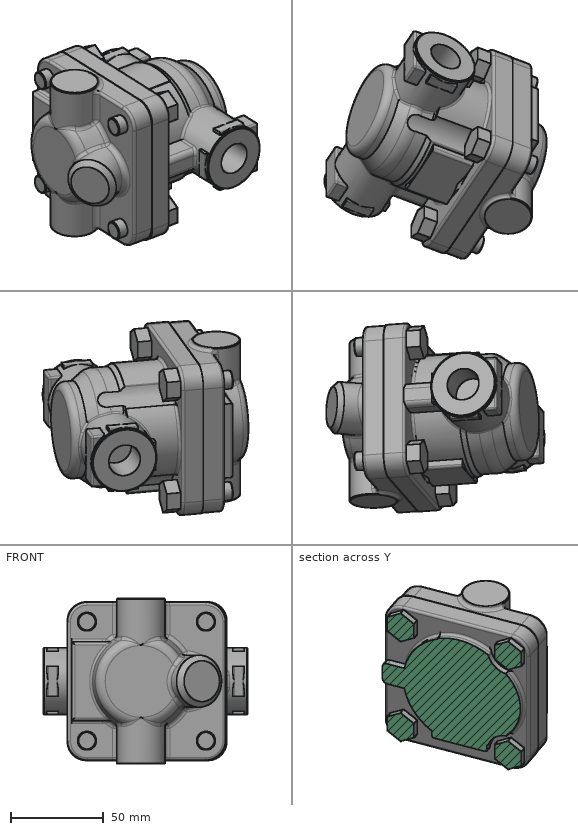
import cadquery as cq
import math

touch_tolerance = 0.001

pipe_radius = 18.0
pipe_half_length = 55.0
pipe_edge_chamfer = 0.6
bore_radius = 17.5 / 2
bore_depth = 20.0
pad_outer_x = 53.0
small_pad_length = 6.0
small_pad_width = 16.0
back_pad_length = 12.5
back_pad_height = 29.4
back_pad_edge_radius = 1.2
small_pad_edge_radius = 0.6

axis_x = -2.5
back_y = 22.0
back_edge_radius = 4.5
neck_radius = 26.3
neck_end_y = 13.6
shoulder_blend_y = 7.7
shoulder_blend_radius = 30.6
shoulder_y = 1.0
shoulder_radius = 32.3
step_start_y = -6.0
step_end_y = -8.8
body_radius = 33.6
left_lobe_radius = 27.5
left_lobe_x = -39.0
left_lobe_back_y = -7.0
name_pad_radius = 33.9
name_pad_left_x = -22.0
name_pad_right_x = 10.6
pipe_root_fillet = 1.5
flange_root_fillet = 1.5
groove_edge_radius = 0.8
rib_outer_x = 43.6
rib_half_height = 6.6
rib_edge_radius = 3.2
bottom_pad_width = 33.0
bottom_pad_back_y = -10.8
bottom_pad_radius = 1.5

flange_x = 0.5
flange_size = 85.0
body_flange_x = 0.85
body_flange_width = 85.9
body_flange_height = 85.4
flange_corner_radius = 10.5
flange_edge_radius = 1.5
flange_back_y = -35.0
joint_y = -47.0
flange_front_y = -59.0
bolt_pitch = 64.0
bolt_head_flats = 16.0
bolt_head_height = 7.7
bolt_radius = 5.0
bolt_end_y = -65.0
bolt_chamfer = 0.5
bolt_clearance_radius = 12.0

cover_face_y = -77.0
bowl_root_radius = 27.5
bowl_front_radius = 23.8
bowl_edge_radius = 5.5
stub_radius = 13.0
stub_length = 89.0
stub_edge_chamfer = 0.5
plate_left_x = -39.6
plate_front_y = -64.3
plate_height = 42.4
plate_edge_radius = 1.6
cover_root_fillet = 2.6
plate_root_fillet = 1.5

plug_radius = 14.0
plug_chamfer = 3.0
plug_angle = 30.0
plug_length = 28.0
plug_end_x = 30.3
overall_depth = 106.54
front_y = back_y - overall_depth
plug_end_y = front_y + (plug_radius - plug_chamfer) * math.sin(math.radians(plug_angle))


def box(x_range, y_range, z_range):
    """Box given by its limits along each axis."""
    sizes = [high - low for low, high in (x_range, y_range, z_range)]
    return cq.Workplane("XY").box(*sizes, centered=False).translate((x_range[0], y_range[0], z_range[0]))


def y_cylinder(x, z, radius, y_front, y_back):
    """Cylinder parallel to Y between two Y positions."""
    return (
        cq.Workplane("XZ", origin=(x, y_back, z))
        .circle(radius)
        .extrude(y_back - y_front)
    )


def lies_on(point, part):
    """True when the point is on the outer surface of the part."""
    return any(face.distance(point) < touch_tolerance for face in part.faces().vals())


def meeting_edges(solid, parts, wanted=lambda box: True):
    """Edges of the joined solid where the surfaces of two parts meet, if their bounds are wanted."""
    found = []
    for edge in solid.edges().vals():
        middle = cq.Vertex.makeVertex(*edge.positionAt(0.5).toTuple())
        touched = sum(lies_on(middle, part) for part in parts)
        if touched > 1 and wanted(edge.BoundingBox()):
            found.append(edge)
    return solid.newObject(found)


def bolt_places():
    """X and Z of the four bolts."""
    half = bolt_pitch / 2
    return [(flange_x + i * half, j * half) for i in (-1, 1) for j in (-1, 1)]


def turned_body():
    corner = back_edge_radius * (1 - math.sqrt(0.5))
    profile = (
        cq.Workplane("XY")
        .moveTo(0, joint_y)
        .lineTo(0, back_y)
        .lineTo(neck_radius - back_edge_radius, back_y)
        .threePointArc((neck_radius - corner, back_y - corner), (neck_radius, back_y - back_edge_radius))
        .lineTo(neck_radius, neck_end_y)
        .lineTo(shoulder_blend_radius, shoulder_blend_y)
        .tangentArcPoint((shoulder_radius, shoulder_y), relative=False)
        .lineTo(shoulder_radius, step_start_y)
        .lineTo(body_radius, step_end_y)
        .lineTo(body_radius, flange_back_y + flange_root_fillet)
        .radiusArc((body_radius + flange_root_fillet, flange_back_y), -flange_root_fillet)
        .lineTo(body_radius + flange_root_fillet, joint_y)
        .close()
    )
    return profile.revolve(360, (0, 0, 0), (0, 1, 0)).translate((axis_x, 0, 0))


def footed_cylinder(x, radius, y_back):
    """Cylinder along Y that flares into the back of the body flange."""
    foot_radius = radius + flange_root_fillet
    profile = (
        cq.Workplane("XY")
        .moveTo(0, joint_y)
        .lineTo(0, y_back)
        .lineTo(radius, y_back)
        .lineTo(radius, flange_back_y + flange_root_fillet)
        .radiusArc((foot_radius, flange_back_y), -flange_root_fillet)
        .lineTo(foot_radius, joint_y)
        .close()
    )
    return profile.revolve(360, (0, 0, 0), (0, 1, 0)).translate((x, 0, 0))


def left_lobe():
    """Rounded wall of the left passage."""
    return footed_cylinder(left_lobe_x + left_lobe_radius, left_lobe_radius, left_lobe_back_y)


def rib():
    """Rounded rib on the right that runs into the flange."""
    bar = box((0, rib_outer_x), (joint_y, 0), (-rib_half_height, rib_half_height))
    return bar.edges("|Y and >X").fillet(rib_edge_radius)


def bottom_pad():
    half_pad = bottom_pad_width / 2
    pad = box((axis_x - half_pad, axis_x + half_pad), (joint_y, bottom_pad_back_y), (-body_radius, 0))
    return pad.edges("|Y and <Z").fillet(bottom_pad_radius)


def name_pad():
    """Slightly raised strip along the top of the body."""
    strip = footed_cylinder(axis_x, name_pad_radius, step_end_y)
    return strip.intersect(box((name_pad_left_x, name_pad_right_x), (joint_y, 0), (0, body_radius * 2)))


def pipe():
    tube = cq.Workplane("YZ").circle(pipe_radius).extrude(pipe_half_length, both=True)
    return tube.faces("<X or >X").edges().chamfer(pipe_edge_chamfer)


def add_pipe_pads(solid):
    """Flats around both pipe ends: above, below, in front and a longer one behind."""
    half_width = small_pad_width / 2
    half_back = back_pad_height / 2
    for side in (-1, 1):
        inner = sorted((side * pad_outer_x, side * (pad_outer_x - small_pad_length)))
        deep = sorted((side * pad_outer_x, side * (pad_outer_x - back_pad_length)))
        upright = box(inner, (-half_width, half_width), (-pipe_radius, pipe_radius))
        front = box(inner, (-pipe_radius, 0), (-half_width, half_width))
        back = box(deep, (0, pipe_radius), (-half_back, half_back))
        solid = solid.union(upright.edges("|Y").fillet(small_pad_edge_radius))
        solid = solid.union(front.edges("|Z and <Y").fillet(small_pad_edge_radius))
        solid = solid.union(back.edges().fillet(back_pad_edge_radius))
    return solid


def drill_bores(solid):
    for side in (-1, 1):
        bore = cq.Workplane("YZ", origin=(side * pipe_half_length, 0, 0))
        solid = solid.cut(bore.circle(bore_radius).extrude(-side * bore_depth))
    return solid


def flange(center_x, width, height, y_front, y_back):
    return (
        cq.Workplane("XZ", origin=(center_x, y_back, 0))
        .rect(width, height)
        .extrude(y_back - y_front)
        .edges("|Y")
        .fillet(flange_corner_radius)
    )


def body():
    plain = turned_body().union(name_pad()).union(left_lobe()).union(bottom_pad())
    grooves = [y_cylinder(x, z, bolt_clearance_radius, joint_y, back_y) for x, z in bolt_places()]
    core = plain
    for groove in grooves:
        core = core.cut(groove)
    core = core.union(rib())

    tube = pipe()
    solid = core.union(tube)
    roots = meeting_edges(
        solid,
        [core, tube],
        lambda bounds: bounds.xmin > 0 or bounds.ylen > touch_tolerance,
    )
    solid = roots.fillet(pipe_root_fillet)

    groove_length = step_end_y - flange_back_y
    rims = meeting_edges(
        solid,
        [plain] + grooves,
        lambda bounds: bounds.ylen > groove_length / 2 and bounds.xmin > name_pad_left_x,
    )
    solid = rims.fillet(groove_edge_radius)

    plate = flange(body_flange_x, body_flange_width, body_flange_height, joint_y, flange_back_y)
    plate = plate.faces(">Y").edges().fillet(flange_edge_radius)
    return drill_bores(add_pipe_pads(solid.union(plate)))


def bowl():
    height = flange_front_y - cover_face_y
    draft = math.degrees(math.atan((bowl_root_radius - bowl_front_radius) / height))
    return (
        cq.Workplane("XZ", origin=(axis_x, flange_front_y, 0))
        .circle(bowl_root_radius)
        .extrude(height, taper=draft)
        .faces("<Y")
        .edges()
        .fillet(bowl_edge_radius)
    )


def stub():
    """Vertical cylinder whose front line lies in the cover face."""
    return (
        cq.Workplane("XY", origin=(axis_x, cover_face_y + stub_radius, 0))
        .circle(stub_radius)
        .extrude(stub_length / 2, both=True)
        .faces("<Z or >Z")
        .edges()
        .chamfer(stub_edge_chamfer)
    )


def plug():
    angle = math.radians(plug_angle)
    end_plane = cq.Plane(
        origin=(plug_end_x, plug_end_y, 0),
        xDir=(0, 0, 1),
        normal=(math.sin(angle), -math.cos(angle), 0),
    )
    post = cq.Workplane(end_plane).circle(plug_radius).extrude(-plug_length)
    end_edge = cq.selectors.NearestToPointSelector((plug_end_x, plug_end_y, 0))
    post = post.edges(end_edge).chamfer(plug_chamfer)
    return post.intersect(box((-flange_size, flange_size), (front_y, joint_y), (-flange_size, flange_size)))


def side_plate():
    half = plate_height / 2
    plate = box((plate_left_x, axis_x), (plate_front_y, flange_front_y), (-half, half))
    return plate.faces("<Y").edges().fillet(plate_edge_radius)


def cover():
    plate = flange(flange_x, flange_size, flange_size, flange_front_y, joint_y)
    plate = plate.faces("<Y").edges().fillet(flange_edge_radius)
    parts = [plate, bowl(), stub(), plug()]
    solid = plate
    for part in parts[1:]:
        solid = solid.union(part)

    rim_y = cover_face_y + bowl_edge_radius

    def is_root(bounds):
        in_front = bounds.ymax < flange_front_y + touch_tolerance
        by_plug = max(-bounds.zmin, bounds.zmax) < plug_radius + touch_tolerance
        return in_front and (by_plug or bounds.ymin > rim_y - cover_root_fillet)

    roots = meeting_edges(solid, parts, is_root)
    solid = roots.fillet(cover_root_fillet)

    def is_plate_root(bounds):
        return bounds.ymax < plate_front_y + plate_edge_radius + touch_tolerance

    joined = solid.union(side_plate())
    plate_roots = meeting_edges(joined, [solid, side_plate()], is_plate_root)
    return plate_roots.fillet(plate_root_fillet)


def bolts():
    group = cq.Workplane("XZ")
    across_corners = bolt_head_flats / math.cos(math.radians(30))
    for x, z in bolt_places():
        shank = y_cylinder(x, z, bolt_radius, bolt_end_y, flange_back_y)
        shank = shank.faces("<Y").edges().chamfer(bolt_chamfer)
        head = (
            cq.Workplane("XZ", origin=(x, flange_back_y + bolt_head_height, z))
            .transformed(rotate=(0, 0, 90))
            .polygon(6, across_corners)
            .extrude(bolt_head_height)
        )
        group = group.add(shank.union(head))
    return group


result = body().union(cover())
for bolt in bolts().vals():
    result = result.union(cq.Workplane(obj=bolt))